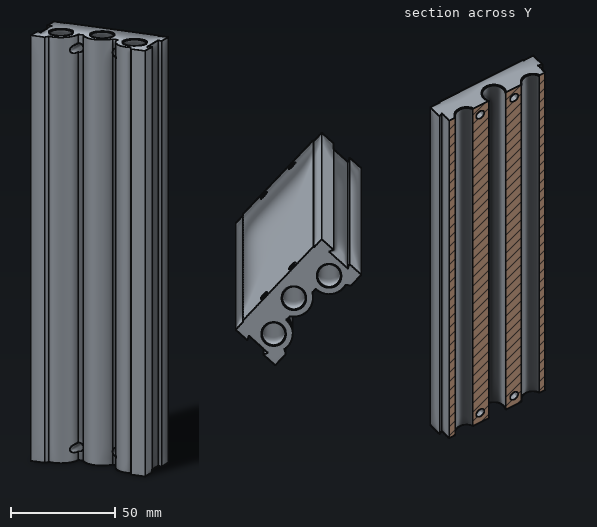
import cadquery as cq
import math

width = 61.0
depth = 26.5
length = 213.0
half_width = width / 2
front_y = -depth / 2
back_y = depth / 2

bore_diameter = 11.0
bore_chamfer = 0.5
side_bore_x = 19.5
side_bore_y = front_y + 11.0
wall_radius = 9.2
middle_bore_y = front_y + 16.0
bore_centers = [(-side_bore_x, side_bore_y), (0, middle_bore_y), (side_bore_x, side_bore_y)]

web_y = front_y + 11.3

foot_tip_x = 23.0
foot_root_x = 21.7

groove_center_y = front_y + 13.0
groove_mouth = 10.5
groove_floor = 12.4
groove_depth = 2.1

back_step_depth = 0.5
back_step_width = 5.5

mount_diameter = 4.5
mount_x = 10.0
mount_inset = 6.5


def make_body():
    """Extrude the cross-section along Z: one half is outlined, then mirrored across X = 0."""
    foot_root_rise = math.sqrt(wall_radius**2 - (foot_root_x - side_bore_x) ** 2)
    wall_diagonal = wall_radius * math.sqrt(0.5)
    web_outer_x = side_bore_x - math.sqrt(wall_radius**2 - (web_y - side_bore_y) ** 2)
    web_rise = middle_bore_y - web_y
    web_inner_x = math.sqrt(wall_radius**2 - web_rise**2)
    middle_arc_angle = math.atan2(web_inner_x, web_rise) / 2
    middle_arc_x = wall_radius * math.sin(middle_arc_angle)
    middle_arc_y = middle_bore_y - wall_radius * math.cos(middle_arc_angle)

    half_body = (
        cq.Workplane("XY")
        .moveTo(0, back_y)
        .lineTo(half_width - back_step_width, back_y)
        .lineTo(half_width - back_step_width, back_y - back_step_depth)
        .lineTo(half_width, back_y - back_step_depth)
        .lineTo(half_width, front_y)
        .lineTo(foot_tip_x, front_y)
        .lineTo(foot_root_x, side_bore_y - foot_root_rise)
        .threePointArc(
            (side_bore_x - wall_diagonal, side_bore_y - wall_diagonal),
            (web_outer_x, web_y),
        )
        .lineTo(web_inner_x, web_y)
        .threePointArc((middle_arc_x, middle_arc_y), (0, middle_bore_y - wall_radius))
        .close()
        .extrude(length)
    )
    return half_body.union(half_body.mirror("YZ")).clean()


def make_groove(side):
    """Full-length groove that is wider at its floor; side is -1 or 1 along X."""
    mouth_x = side * half_width
    floor_x = side * (half_width - groove_depth)
    return (
        cq.Workplane("XY")
        .moveTo(mouth_x, groove_center_y - groove_mouth / 2)
        .lineTo(floor_x, groove_center_y - groove_floor / 2)
        .lineTo(floor_x, groove_center_y + groove_floor / 2)
        .lineTo(mouth_x, groove_center_y + groove_mouth / 2)
        .close()
        .extrude(length)
    )


def make_bores():
    """Three through bores, chamfered at both ends."""
    mouth_diameter = bore_diameter + 2 * bore_chamfer
    bores = cq.Workplane("XY").pushPoints(bore_centers).circle(bore_diameter / 2).extrude(length)
    for end_z, inward in ((0, 1), (length, -1)):
        for x, y in bore_centers:
            cone = cq.Solid.makeCone(
                mouth_diameter / 2,
                bore_diameter / 2,
                bore_chamfer,
                pnt=cq.Vector(x, y, end_z),
                dir=cq.Vector(0, 0, inward),
            )
            bores = bores.union(cq.Workplane(obj=cone))
    return bores


def make_mount_holes():
    """Four holes through the webs, one pair near each end."""
    centers = [(x, z) for x in (-mount_x, mount_x) for z in (mount_inset, length - mount_inset)]
    return (
        cq.Workplane("XZ", origin=(0, back_y, 0))
        .pushPoints(centers)
        .circle(mount_diameter / 2)
        .extrude(depth)
    )


result = make_body().cut(make_bores()).cut(make_mount_holes())
for groove_side in (-1, 1):
    result = result.cut(make_groove(groove_side))